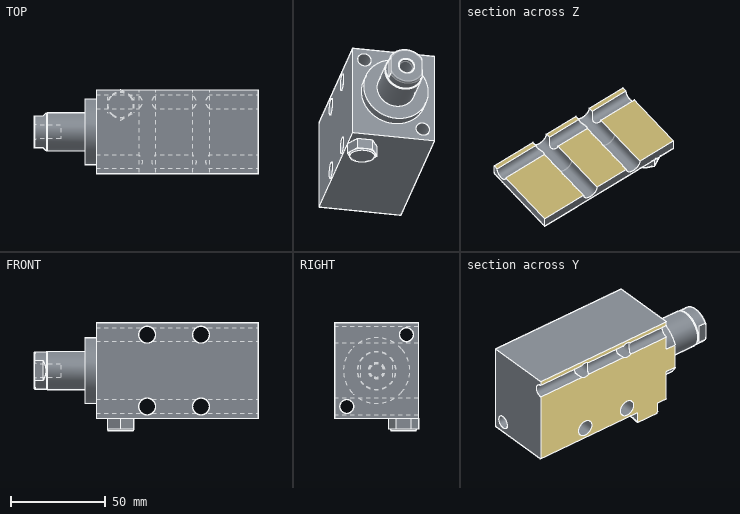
import cadquery as cq
import math

total_length = 118.9
total_height = 57.3
block_length = 85.8
block_width = 44.5
block_height = 50.8
block_face_x = total_length - block_length

collar_radius = 17.5
collar_length = 6.1
shaft_radius = 10.2
nose_radius = 10.0
nose_length = 6.5
nose_taper_length = 0.7
tip_fillet_radius = 0.8

flat_spacing = 16.9
flat_length = 4.8

bore_radius = 3.6
bore_depth = 14.3
bore_mouth_radius = 4.4
bore_mouth_chamfer = 0.4
bore_entry_depth = 1.9

cross_hole_diameter = 8.8
first_cross_hole_offset = 26.9
cross_hole_pitch = 28.5
long_hole_diameter = 7.3
long_hole_y = 15.8
hole_z = 19.0

plug_offset = 12.8
plug_y = 14.3
plug_across_flats = 14.0
plug_hex_height = 5.6
plug_height = total_height - block_height
plug_end_radius = 6.7


def make_block():
    return cq.Workplane("XY").box(block_length, block_width, block_height).translate(
        (block_face_x + block_length / 2, 0, 0)
    )


def make_shaft():
    """Shaft and collar revolved about the X axis, with a blind bore in the tip."""
    collar_x = block_face_x - collar_length
    entry_radius = bore_mouth_radius - bore_mouth_chamfer
    return (
        cq.Workplane("XY")
        .moveTo(bore_depth, 0)
        .lineTo(bore_depth, bore_radius)
        .lineTo(bore_entry_depth, bore_radius)
        .lineTo(bore_mouth_chamfer, entry_radius)
        .lineTo(0, bore_mouth_radius)
        .lineTo(0, nose_radius - tip_fillet_radius)
        .radiusArc((tip_fillet_radius, nose_radius), tip_fillet_radius)
        .lineTo(nose_length, nose_radius)
        .lineTo(nose_length + nose_taper_length, shaft_radius)
        .lineTo(collar_x, shaft_radius)
        .lineTo(collar_x, collar_radius)
        .lineTo(block_face_x, collar_radius)
        .lineTo(block_face_x, 0)
        .close()
        .revolve(360, (0, 0, 0), (1, 0, 0))
    )


def make_flat_cutter():
    """Stock removed above the +Y wrench flat, ending in a 45 degree slope."""
    flat_y = flat_spacing / 2
    outer_y = collar_radius
    slope_run = outer_y - flat_y
    return (
        cq.Workplane("XY")
        .moveTo(0, flat_y)
        .lineTo(flat_length, flat_y)
        .lineTo(flat_length + slope_run, outer_y)
        .lineTo(0, outer_y)
        .close()
        .extrude(shaft_radius, both=True)
    )


def make_plug():
    """Hexagonal head with its corners along Y and a short conical end."""
    across_corners = plug_across_flats / math.cos(math.pi / 6)
    end_taper = math.degrees(
        math.atan2(plug_across_flats / 2 - plug_end_radius, plug_height - plug_hex_height)
    )
    head = cq.Workplane("XY").polygon(6, across_corners).extrude(-plug_hex_height)
    head = head.rotate((0, 0, 0), (0, 0, 1), 90)
    end = (
        cq.Workplane("XY", origin=(0, 0, -plug_hex_height))
        .circle(plug_across_flats / 2)
        .extrude(plug_hex_height - plug_height, taper=end_taper)
    )
    return head.union(end).translate((block_face_x + plug_offset, plug_y, -block_height / 2))


def make_cross_holes():
    first_x = block_face_x + first_cross_hole_offset
    centres = [(first_x + i * cross_hole_pitch, z) for i in range(2) for z in (-hole_z, hole_z)]
    return (
        cq.Workplane("XZ")
        .pushPoints(centres)
        .circle(cross_hole_diameter / 2)
        .extrude(block_width, both=True)
    )


def make_long_holes():
    """Two lengthwise holes in diagonally opposite corners of the block."""
    return (
        cq.Workplane("YZ", origin=(block_face_x, 0, 0))
        .pushPoints([(long_hole_y, hole_z), (-long_hole_y, -hole_z)])
        .circle(long_hole_diameter / 2)
        .extrude(block_length)
    )


flat_cutter = make_flat_cutter()
shaft = make_shaft().cut(flat_cutter).cut(flat_cutter.mirror("XZ"))
block = make_block().cut(make_cross_holes()).cut(make_long_holes())
result = block.union(shaft).union(make_plug())